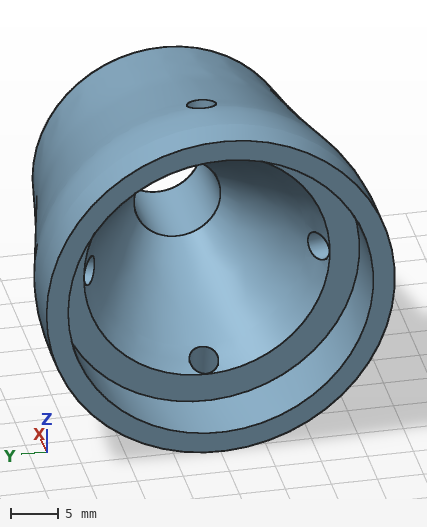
import cadquery as cq
import math

length = 31.45
rim_radius = 18.92
rim_length = 3.67

shoulder_end = 9.0
shoulder_radius = 18.32
waist_x = 15.5
waist_radius = 16.73
nose_start = 29.05
nose_start_radius = 14.15
nose_mid_x = 30.6
nose_mid_radius = 13.3
nose_face_radius = 11.35
shoulder_slope = -0.23
nose_slope = -0.18

counterbore_radius = 16.58
counterbore_depth = 6.95
throat_radius = 13.35
throat_end = 10.0
funnel_radius = 11.5
funnel_end = 21.73
outlet_radius = 4.7

vent_count = 4
vent_diameter = 3.1
vent_mouth_x = 9.7
vent_tilt = 12
vent_start_radius = 7.57
vent_length = 15.15


def make_body():
    """Revolve the hollow wall profile around X."""
    shoulder_drop = rim_radius - shoulder_radius
    shoulder_run = shoulder_end - rim_length
    arc_radius = (shoulder_run**2 + shoulder_drop**2) / (2 * shoulder_drop)
    half_angle = math.asin(shoulder_run / arc_radius) / 2
    shoulder_mid = (
        rim_length + arc_radius * math.sin(half_angle),
        rim_radius - arc_radius * (1 - math.cos(half_angle)),
    )
    profile = (
        cq.Workplane("XY")
        .moveTo(0, counterbore_radius)
        .lineTo(0, rim_radius)
        .lineTo(rim_length, rim_radius)
        .threePointArc(shoulder_mid, (shoulder_end, shoulder_radius))
        .spline(
            [(waist_x, waist_radius), (nose_start, nose_start_radius)],
            tangents=[(1, shoulder_slope), (1, nose_slope)],
            includeCurrent=True,
        )
        .threePointArc((nose_mid_x, nose_mid_radius), (length, nose_face_radius))
        .lineTo(length, outlet_radius)
        .lineTo(funnel_end, outlet_radius)
        .lineTo(throat_end, funnel_radius)
        .lineTo(counterbore_depth, throat_radius)
        .lineTo(counterbore_depth, counterbore_radius)
        .close()
    )
    return profile.revolve(360, (0, 0, 0), (1, 0, 0))


def make_vent(turn):
    """Make one slanted vent cutter, turned about X from the +Z side."""
    tilt = math.radians(vent_tilt)
    inward_shift = (shoulder_radius - vent_start_radius) * math.tan(tilt)
    start = cq.Vector(vent_mouth_x - inward_shift, 0, vent_start_radius)
    direction = cq.Vector(math.sin(tilt), 0, math.cos(tilt))
    cutter = cq.Solid.makeCylinder(vent_diameter / 2, vent_length, start, direction)
    return cutter.rotate(cq.Vector(0, 0, 0), cq.Vector(1, 0, 0), turn)


result = make_body()
for index in range(vent_count):
    result = result.cut(cq.Workplane(obj=make_vent(index * 360 / vent_count)))